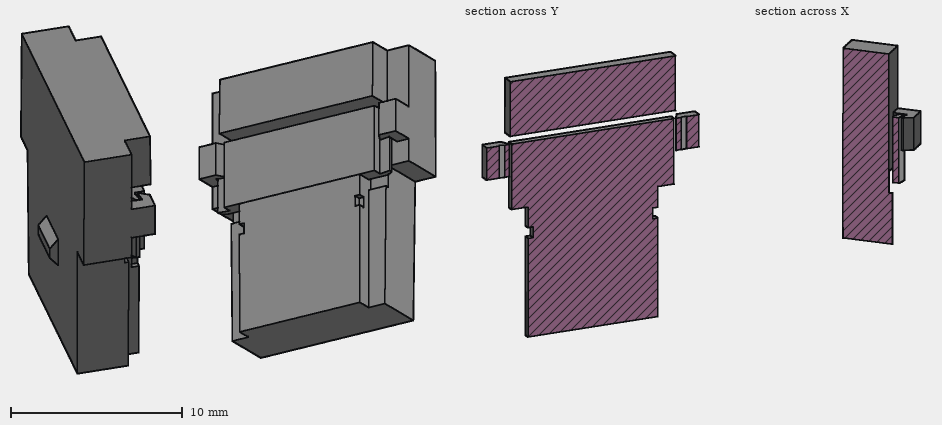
import cadquery as cq

total_height = 16.0
draft = 0.05

head_half_width = 6.8
head_bottom = 8.72
wing_back = 2.9

block_half_width = 5.3
block_bottom = 12.6
block_back = 4.48

arm_bottom = 10.11
arm_top = 12.13
arm_back = 4.32
arm_inner = 5.98
hook_shoulder = 5.63
hook_tip = 5.33
hook_tip_back = 3.76
hook_tip_front = 3.65

body_half_width_top = 5.38
body_half_width_bottom = 5.28
body_back = 3.12
body_step = 7.4

core_half_width = 4.16
core_back = 4.11
shoulder_half_width = 5.2
flange_bottom = 8.05

flange_half_width = 5.95
flange_back = 3.63
flange_front = 3.4
flange_bevel_end = 5.54

pocket_bottom = 6.13
pocket_top = 6.77
pocket_depth = 0.32

lug_half_width = 1.25
lug_reach = 0.5
lug_bottom = 4.95
lug_tip_bottom = 5.6
lug_tip_top = 6.25
lug_top = 6.88


def box(x_min, x_max, y_min, y_max, z_min, z_max):
    size = (x_max - x_min, y_max - y_min, z_max - z_min)
    return cq.Workplane("XY").box(*size, centered=False).translate((x_min, y_min, z_min))


def side_profile(points, half_width):
    """Extrude an outline of (y, z) points symmetrically along X."""
    return cq.Workplane("YZ").polyline(points).close().extrude(half_width, both=True)


def plan_profile(points, z_min, z_max):
    """Extrude an outline of (x, y) points upward between two heights."""
    return cq.Workplane("XY").workplane(offset=z_min).polyline(points).close().extrude(z_max - z_min)


def with_mirror(solid):
    return solid.union(solid.mirror("YZ"))


def make_head():
    slab = side_profile(
        [(0, head_bottom), (wing_back, head_bottom), (wing_back, total_height), (draft, total_height)],
        head_half_width,
    )
    block = side_profile(
        [
            (wing_back, block_bottom),
            (block_back, block_bottom),
            (block_back - draft, total_height),
            (wing_back, total_height),
        ],
        block_half_width,
    )
    return slab.union(block)


def make_arms():
    arm = plan_profile(
        [
            (head_half_width, wing_back),
            (head_half_width, arm_back),
            (hook_shoulder, arm_back),
            (hook_tip, hook_tip_back),
            (hook_tip, hook_tip_front),
            (arm_inner, hook_tip_back),
            (arm_inner, wing_back),
        ],
        arm_bottom,
        arm_top,
    )
    return with_mirror(arm)


def make_body():
    depth_profile = side_profile(
        [
            (draft, 0),
            (body_back, 0),
            (body_back, body_step),
            (wing_back, body_step),
            (wing_back, head_bottom),
            (0, head_bottom),
        ],
        body_half_width_top,
    )
    width_profile = (
        cq.Workplane("XZ")
        .polyline(
            [
                (-body_half_width_bottom, 0),
                (body_half_width_bottom, 0),
                (body_half_width_top, head_bottom),
                (-body_half_width_top, head_bottom),
            ]
        )
        .close()
        .extrude(-body_back)
    )
    return depth_profile.intersect(width_profile)


def make_core():
    core = side_profile(
        [
            (wing_back, 0),
            (core_back - draft, 0),
            (core_back, arm_top),
            (wing_back, arm_top),
        ],
        core_half_width,
    )
    shoulder = box(
        -shoulder_half_width, shoulder_half_width, body_back, core_back, flange_bottom, arm_top
    )
    pocket = box(
        core_half_width - pocket_depth, core_half_width, flange_back, core_back, pocket_bottom, pocket_top
    )
    return core.union(shoulder).cut(with_mirror(pocket))


def make_flanges():
    slope_drop = hook_tip_back - hook_tip_front
    flange = plan_profile(
        [
            (flange_half_width, flange_back),
            (flange_half_width, flange_front),
            (flange_bevel_end, body_back),
            (core_half_width, body_back),
            (core_half_width, flange_back - slope_drop),
            (hook_tip, flange_back - slope_drop),
        ],
        flange_bottom,
        arm_top,
    )
    return with_mirror(flange)


def make_lug():
    return side_profile(
        [
            (draft, lug_bottom),
            (-lug_reach, lug_tip_bottom),
            (-lug_reach, lug_tip_top),
            (draft, lug_top),
        ],
        lug_half_width,
    )


result = (
    make_head()
    .union(make_arms())
    .union(make_body())
    .union(make_core())
    .union(make_flanges())
    .union(make_lug())
)